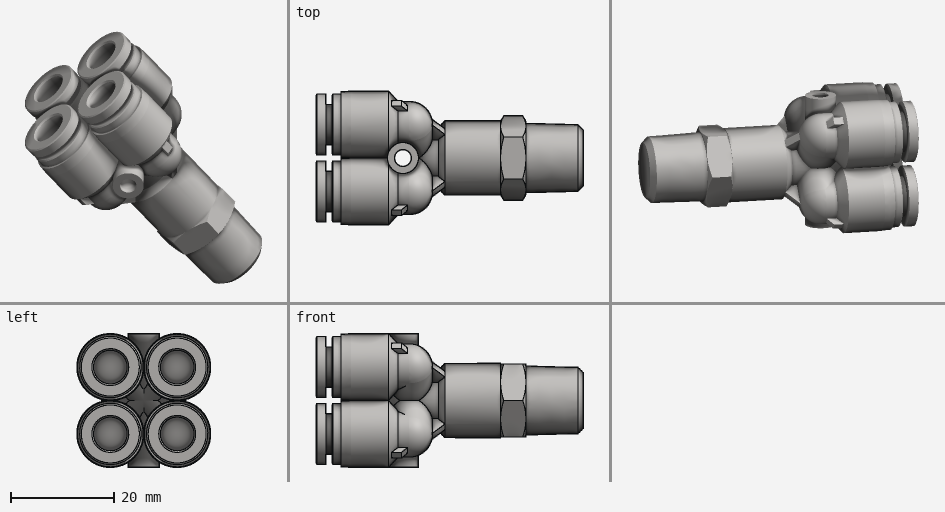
import cadquery as cq
import math

overall_length = 51.9
port_offset = 6.5
diagonal_offset = port_offset * math.sqrt(2)
port_angles = [45, 135, 225, 315]

flange_radius = 11.9 / 2
neck_radius = 7.9 / 2
bore_radius = 6.55 / 2
flange_end_x = 1.9
neck_end_x = 3.1
sleeve_length = 4.85
rim_bevel_radial = 0.3
rim_bevel_axial = 0.15
mouth_bevel = 0.3

barrel_radius = 13.05 / 2
barrel_mouth_radius = 6.4
taper_end_x = 6.85
barrel_end_x = 14.05
shoulder_end_x = 15.95
elbow_x = 18.1
elbow_radius = 4.5

trunk_radius = 5.8
trunk_cone_start_x = 23.75
trunk_cone_start_radius = 5.95
trunk_end_radius = 14.5 / 2
trunk_cone_end_x = 25.0
hex_start_x = 35.8

boss_x = 16.85
boss_radius = 6.0 / 2
boss_hole_radius = 3.2 / 2
boss_height = 2 * (port_offset + barrel_radius)

rib_thickness = 1.55
shoulder_rib_height = 5.85
shoulder_rib_top_end_x = 16.55
shoulder_rib_foot_x = 17.75
trunk_rib_start_x = 20.75
trunk_rib_start_height = 11.75

hex_across_flats = 14.2
hex_end_x = 40.75
hex_bevel_axial = 0.6
thread_start_radius = 6.75
thread_end_radius = 6.5
thread_bevel = 1.1


def revolve_about_x(points):
    """Revolve a closed (x, radius) outline about the X axis."""
    return cq.Workplane("XY").polyline(points).close().revolve(360, (0, 0, 0), (1, 0, 0))


def place_at_port(shape, angle):
    """Move a shape from the X axis out along +Z to a port axis, then turn it about X."""
    return shape.translate((0, 0, diagonal_offset)).rotate((0, 0, 0), (1, 0, 0), angle)


def diagonal_rib(points):
    """Plate in the XZ plane, centred on Y = 0, from an (x, z) outline."""
    return cq.Workplane("XZ").polyline(points).close().extrude(rib_thickness / 2, both=True)


def make_release_sleeve():
    """Spool with a flange, a neck and a collar, bored through for the tube."""
    return revolve_about_x([
        (0, bore_radius + mouth_bevel),
        (0, flange_radius - rim_bevel_radial),
        (rim_bevel_axial, flange_radius),
        (flange_end_x, flange_radius),
        (flange_end_x, neck_radius),
        (neck_end_x, neck_radius),
        (neck_end_x, flange_radius - rim_bevel_radial),
        (neck_end_x + rim_bevel_axial, flange_radius),
        (sleeve_length, flange_radius),
        (sleeve_length, bore_radius),
        (mouth_bevel, bore_radius),
    ])


def make_port():
    """Tapered barrel, conical shoulder, and a ball elbow that turns in to the fitting axis."""
    barrel = revolve_about_x([
        (sleeve_length, 0),
        (sleeve_length, barrel_mouth_radius),
        (taper_end_x, barrel_radius),
        (barrel_end_x, barrel_radius),
        (shoulder_end_x, elbow_radius),
        (elbow_x, elbow_radius),
        (elbow_x, 0),
    ])
    ball = cq.Workplane("XY").sphere(elbow_radius).translate((elbow_x, 0, 0))
    elbow = (
        cq.Workplane("XY", origin=(elbow_x, 0, -diagonal_offset))
        .circle(elbow_radius)
        .extrude(diagonal_offset)
    )
    shoulder_rib = diagonal_rib([
        (barrel_end_x, 0),
        (barrel_end_x, shoulder_rib_height),
        (shoulder_rib_top_end_x, shoulder_rib_height),
        (shoulder_rib_foot_x, elbow_radius),
        (shoulder_rib_foot_x, 0),
    ])
    return barrel.union(ball).union(elbow).union(shoulder_rib)


def make_trunk():
    """Core between the elbows, flaring to the cylindrical end that meets the stud."""
    return revolve_about_x([
        (barrel_end_x, 0),
        (barrel_end_x, trunk_radius),
        (trunk_cone_start_x, trunk_radius),
        (trunk_cone_start_x, trunk_cone_start_radius),
        (trunk_cone_end_x, trunk_end_radius),
        (hex_start_x, trunk_end_radius),
        (hex_start_x, 0),
    ])


def make_trunk_rib():
    """Rib sloping from an elbow down to the rim of the trunk."""
    return diagonal_rib([
        (trunk_rib_start_x, 0),
        (trunk_rib_start_x, trunk_rib_start_height),
        (trunk_cone_end_x, trunk_end_radius),
        (trunk_cone_end_x, 0),
    ])


def make_housing():
    housing = make_trunk()
    port = make_port()
    trunk_rib = make_trunk_rib()
    for angle in port_angles:
        housing = housing.union(place_at_port(port, angle))
        housing = housing.union(trunk_rib.rotate((0, 0, 0), (1, 0, 0), angle))

    boss_plane = cq.Workplane("XY", origin=(boss_x, 0, -boss_height / 2))
    boss = boss_plane.circle(boss_radius).extrude(boss_height)
    boss_hole = boss_plane.circle(boss_hole_radius).extrude(boss_height)
    return housing.union(boss).cut(boss_hole)


def make_threaded_stud():
    """Hexagon bevelled at both ends, followed by a slightly tapered thread blank."""
    corner_radius = hex_across_flats / math.sqrt(3)
    flat_radius = hex_across_flats / 2
    hexagon = (
        cq.Workplane("YZ", origin=(hex_start_x, 0, 0))
        .polygon(6, 2 * corner_radius)
        .extrude(hex_end_x - hex_start_x)
    )
    bevel_envelope = revolve_about_x([
        (hex_start_x, 0),
        (hex_start_x, flat_radius),
        (hex_start_x + hex_bevel_axial, corner_radius),
        (hex_end_x - hex_bevel_axial, corner_radius),
        (hex_end_x, flat_radius),
        (hex_end_x, 0),
    ])
    thread = revolve_about_x([
        (hex_end_x, 0),
        (hex_end_x, thread_start_radius),
        (overall_length - thread_bevel, thread_end_radius),
        (overall_length, thread_end_radius - thread_bevel),
        (overall_length, 0),
    ])
    return hexagon.intersect(bevel_envelope).union(thread)


housing = make_housing()
threaded_stud = make_threaded_stud()
release_sleeve = make_release_sleeve()
release_sleeves = [place_at_port(release_sleeve, angle).val() for angle in port_angles]

result = cq.Compound.makeCompound([housing.val(), threaded_stud.val(), *release_sleeves])